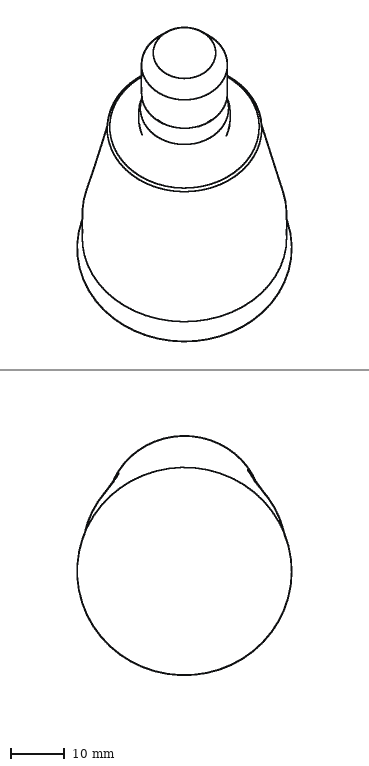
import cadquery as cq
import math

TOTAL_HEIGHT = 69.0

FOOT_RADIUS = 39.95 / 2
FOOT_RIM_RADIUS = 5.85

BODY_RADIUS = 38.0 / 2
BODY_CONE_BOTTOM = 17.0
BODY_CONE_TOP = 42.9
BODY_TOP = 45.05
BODY_TOP_RADIUS = 28.8 / 2
BODY_TOP_CHAMFER = 0.5

COLLAR_RADIUS = 17.0 / 2
COLLAR_BOTTOM = 47.1
COLLAR_CHAMFER_START = 50.0
COLLAR_TOP = 51.05
COLLAR_CHAMFER_ANGLE = 15.0

RELIEF_RADIUS = 16.6 / 2
RELIEF_TOP = 46.3
RELIEF_FILLET = 0.55
RELIEF_OUTER_RADIUS = 9.7

RELIEF_FACE_SLOPE = 8.0

NECK_RADIUS = 13.0 / 2
NECK_LOWER_FILLET = 1.05
NECK_UPPER_FILLET = 1.25

HEAD_RADIUS = 16.0 / 2
HEAD_BOTTOM = 56.0
HEAD_TOP = 65.2
HEAD_TAPER = 30.0


def tan_deg(angle):
    return math.tan(math.radians(angle))


def sin_deg(angle):
    return math.sin(math.radians(angle))


def cos_deg(angle):
    return math.cos(math.radians(angle))


rim_center_radius = FOOT_RADIUS - FOOT_RIM_RADIUS
foot_top = FOOT_RIM_RADIUS + math.sqrt(FOOT_RIM_RADIUS**2 - (BODY_RADIUS - rim_center_radius) ** 2)


def make_foot():
    """Foot with a flat base and a rounded rim, cut off flat under the body."""
    profile = (
        cq.Workplane("XZ")
        .lineTo(rim_center_radius, 0)
        .threePointArc((FOOT_RADIUS, FOOT_RIM_RADIUS), (BODY_RADIUS, foot_top))
        .lineTo(0, foot_top)
        .close()
    )
    return profile.revolve(360, (0, 0), (0, 1))


def concave_quarter_middle(wall_radius, floor_height, fillet):
    """Midpoint of the fillet between an upright wall and the floor around it."""
    offset = fillet * (1 - cos_deg(45))
    return wall_radius + offset, floor_height + offset


def make_stud():
    """Turned body and stud in one piece."""
    relief_floor_radius = RELIEF_RADIUS + RELIEF_FILLET
    relief_floor = BODY_TOP - (RELIEF_OUTER_RADIUS - relief_floor_radius) * tan_deg(RELIEF_FACE_SLOPE)

    collar_top_radius = COLLAR_RADIUS - (COLLAR_TOP - COLLAR_CHAMFER_START) * tan_deg(COLLAR_CHAMFER_ANGLE)

    corner = HEAD_BOTTOM - (HEAD_RADIUS - NECK_RADIUS) / tan_deg(HEAD_TAPER)
    half_taper = HEAD_TAPER / 2
    tangent_length = NECK_UPPER_FILLET * tan_deg(half_taper)
    fillet_start = corner - tangent_length
    fillet_middle = (
        NECK_RADIUS + NECK_UPPER_FILLET * (1 - cos_deg(half_taper)),
        fillet_start + NECK_UPPER_FILLET * sin_deg(half_taper),
    )
    fillet_end = (
        NECK_RADIUS + tangent_length * sin_deg(HEAD_TAPER),
        corner + tangent_length * cos_deg(HEAD_TAPER),
    )

    tip_radius = HEAD_RADIUS - (TOTAL_HEIGHT - HEAD_TOP) * tan_deg(HEAD_TAPER)

    profile = (
        cq.Workplane("XZ")
        .moveTo(0, foot_top)
        .lineTo(BODY_RADIUS, foot_top)
        .lineTo(BODY_RADIUS, BODY_CONE_BOTTOM)
        .lineTo(BODY_TOP_RADIUS, BODY_CONE_TOP)
        .lineTo(BODY_TOP_RADIUS, BODY_TOP - BODY_TOP_CHAMFER)
        .lineTo(BODY_TOP_RADIUS - BODY_TOP_CHAMFER, BODY_TOP)
        .lineTo(RELIEF_OUTER_RADIUS, BODY_TOP)
        .lineTo(relief_floor_radius, relief_floor)
        .threePointArc(
            concave_quarter_middle(RELIEF_RADIUS, relief_floor, RELIEF_FILLET),
            (RELIEF_RADIUS, relief_floor + RELIEF_FILLET),
        )
        .lineTo(RELIEF_RADIUS, RELIEF_TOP)
        .lineTo(COLLAR_RADIUS, COLLAR_BOTTOM)
        .lineTo(COLLAR_RADIUS, COLLAR_CHAMFER_START)
        .lineTo(collar_top_radius, COLLAR_TOP)
        .lineTo(NECK_RADIUS + NECK_LOWER_FILLET, COLLAR_TOP)
        .threePointArc(
            concave_quarter_middle(NECK_RADIUS, COLLAR_TOP, NECK_LOWER_FILLET),
            (NECK_RADIUS, COLLAR_TOP + NECK_LOWER_FILLET),
        )
        .lineTo(NECK_RADIUS, fillet_start)
        .threePointArc(fillet_middle, fillet_end)
        .lineTo(HEAD_RADIUS, HEAD_BOTTOM)
        .lineTo(HEAD_RADIUS, HEAD_TOP)
        .lineTo(tip_radius, TOTAL_HEIGHT)
        .lineTo(0, TOTAL_HEIGHT)
        .close()
    )
    return profile.revolve(360, (0, 0), (0, 1))


foot = make_foot()
stud = make_stud()

result = cq.Compound.makeCompound([foot.val(), stud.val()])